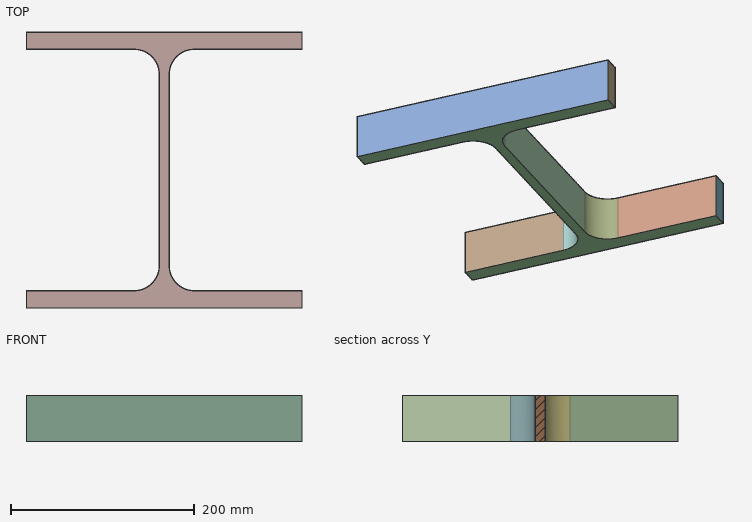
import cadquery as cq

section_depth = 300.0
flange_width = 300.0
flange_thickness = 19.0
web_thickness = 11.0
root_radius = 27.0
beam_length = 50.0

web_depth = section_depth - 2 * flange_thickness
flange_offset = (section_depth - flange_thickness) / 2


def make_flange(center_y):
    """Flat plate across the end of the web."""
    return (
        cq.Workplane("XY")
        .center(0, center_y)
        .rect(flange_width, flange_thickness)
        .extrude(beam_length)
    )


web = cq.Workplane("XY").rect(web_thickness, web_depth).extrude(beam_length)
beam = web.union(make_flange(flange_offset)).union(make_flange(-flange_offset))

root_edges = cq.selectors.BoxSelector(
    (-web_thickness, -section_depth / 2, 0),
    (web_thickness, section_depth / 2, beam_length),
)
result = beam.edges("|Z").edges(root_edges).fillet(root_radius)